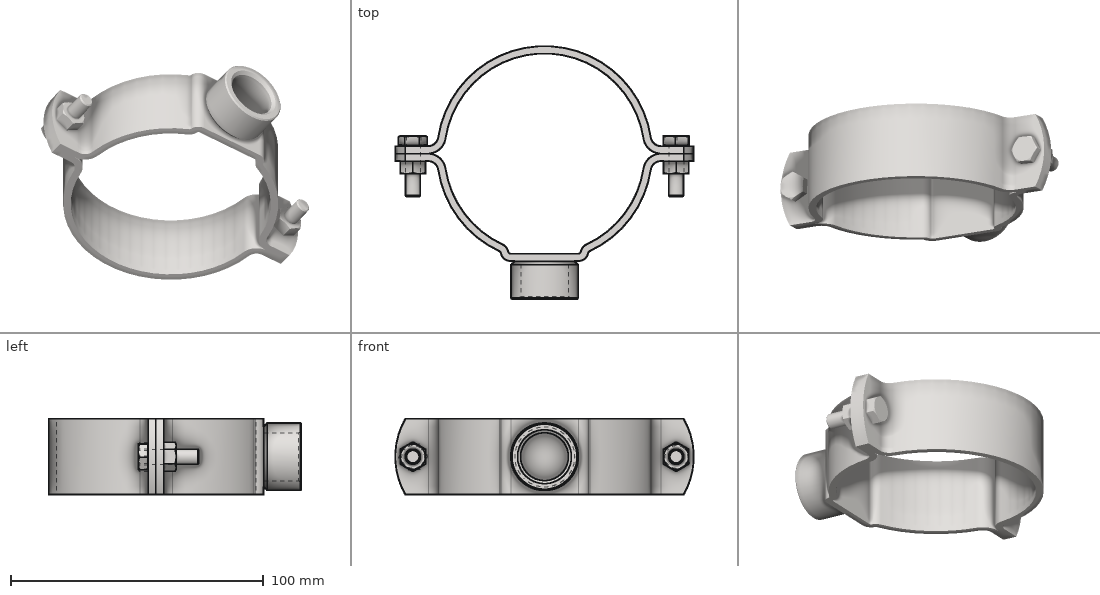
import cadquery as cq
import math


strap_thickness = 3.0
strap_width = 30.0
ring_outer_radius = 42.5
ring_inner_radius = ring_outer_radius - strap_thickness
overall_length = 118.0
ear_end_radius = 30.0

ear_bend_tight = 4.0
ear_bend_wide = ear_bend_tight + strap_thickness
seat_bend_tight = 1.0
seat_bend_wide = seat_bend_tight + strap_thickness

socket_diameter = 26.7
socket_length = 15.0
socket_bore = 18.9
socket_mouth_chamfer = 1.2
socket_base_chamfer = 1.5
socket_rim_chamfer = 0.5

screw_spacing = 104.0
screw_diameter = 6.0
screw_length = 20.0
screw_tip_chamfer = 0.5
head_height = 4.0
washer_face_height = 0.3
washer_face_diameter = 9.0
nut_height = 5.0
hex_across_flats = 10.0
hex_across_corners = hex_across_flats / math.cos(math.radians(30))
hex_chamfer_angle = 30.0
nut_turn = 30.0
left_screw_turn = 3.0
right_screw_turn = 33.0

left_x = -screw_spacing / 2
right_x = screw_spacing / 2


def polar(center, radius, angle):
    """Point at a radius and an angle in degrees around a center."""
    return (
        center[0] + radius * math.cos(math.radians(angle)),
        center[1] + radius * math.sin(math.radians(angle)),
    )


def mirrored(point):
    return (-point[0], point[1])


def direction(start, end):
    """Angle in degrees of the line from start to end."""
    return math.degrees(math.atan2(end[1] - start[1], end[0] - start[0]))


ear_center_y = strap_thickness + ear_bend_tight
ear_center_x = math.sqrt((ring_outer_radius + ear_bend_tight) ** 2 - ear_center_y**2)
ear_center = (ear_center_x, ear_center_y)
ear_ring_angle = direction((0, 0), ear_center)
ear_arc_start = 180 + ear_ring_angle
ear_arc_middle = (ear_arc_start + 270) / 2

seat_half_width = socket_diameter / 2
seat_center = (seat_half_width, seat_bend_wide - ring_outer_radius)
shoulder_distance = ring_outer_radius + seat_bend_tight
seat_distance = math.hypot(*seat_center)
bend_spacing = seat_bend_wide + seat_bend_tight
shoulder_swing = math.degrees(
    math.acos(
        (shoulder_distance**2 + seat_distance**2 - bend_spacing**2)
        / (2 * shoulder_distance * seat_distance)
    )
)
shoulder_angle = direction((0, 0), seat_center) + shoulder_swing
shoulder_center = polar((0, 0), shoulder_distance, shoulder_angle)
seat_joint_angle = direction(seat_center, shoulder_center)
seat_arc_middle = (seat_joint_angle - 90) / 2
shoulder_arc_middle = (shoulder_angle + seat_joint_angle) / 2 + 180


def finish_strap(profile):
    """Extrude a strap profile, round the ear ends and drill the screw holes."""
    strap = profile.extrude(strap_width / 2, both=True)
    end_x = overall_length / 2
    corner_x = end_x - ear_end_radius + math.sqrt(ear_end_radius**2 - (strap_width / 2) ** 2)
    half_width = strap_width / 2
    envelope = (
        cq.Workplane("XZ")
        .moveTo(-corner_x, -half_width)
        .lineTo(corner_x, -half_width)
        .threePointArc((end_x, 0), (corner_x, half_width))
        .lineTo(-corner_x, half_width)
        .threePointArc((-end_x, 0), (-corner_x, -half_width))
        .close()
        .extrude(ring_outer_radius, both=True)
    )
    holes = (
        cq.Workplane("XZ")
        .pushPoints([(left_x, 0), (right_x, 0)])
        .circle(screw_diameter / 2)
        .extrude(strap_thickness, both=True)
    )
    return strap.intersect(envelope).cut(holes)


def make_plain_strap():
    """Half strap on the +Y side."""
    end_x = overall_length / 2
    ring_outer_end = polar((0, 0), ring_outer_radius, ear_ring_angle)
    ring_inner_end = polar((0, 0), ring_inner_radius, ear_ring_angle)
    tight_middle = polar(ear_center, ear_bend_tight, ear_arc_middle)
    wide_middle = polar(ear_center, ear_bend_wide, ear_arc_middle)
    profile = (
        cq.Workplane("XY")
        .moveTo(end_x, 0)
        .lineTo(end_x, strap_thickness)
        .lineTo(ear_center_x, strap_thickness)
        .threePointArc(tight_middle, ring_outer_end)
        .threePointArc((0, ring_outer_radius), mirrored(ring_outer_end))
        .threePointArc(mirrored(tight_middle), (-ear_center_x, strap_thickness))
        .lineTo(-end_x, strap_thickness)
        .lineTo(-end_x, 0)
        .lineTo(-ear_center_x, 0)
        .threePointArc(mirrored(wide_middle), mirrored(ring_inner_end))
        .threePointArc((0, ring_inner_radius), ring_inner_end)
        .threePointArc(wide_middle, (ear_center_x, 0))
        .close()
    )
    return finish_strap(profile)


def make_seat_strap():
    """Half strap on the -Y side with the flat seat for the socket."""
    end_x = overall_length / 2
    below_center = (ear_center_x, -ear_center_y)
    ring_middle_angle = (shoulder_angle - ear_ring_angle) / 2
    shoulder_start = shoulder_angle + 180
    shoulder_end = seat_joint_angle + 180
    half = (
        cq.Workplane("XY")
        .moveTo(0, -ring_outer_radius)
        .lineTo(seat_half_width, -ring_outer_radius)
        .threePointArc(
            polar(seat_center, seat_bend_wide, seat_arc_middle),
            polar(seat_center, seat_bend_wide, seat_joint_angle),
        )
        .threePointArc(
            polar(shoulder_center, seat_bend_tight, shoulder_arc_middle),
            polar(shoulder_center, seat_bend_tight, shoulder_start),
        )
        .threePointArc(
            polar((0, 0), ring_outer_radius, ring_middle_angle),
            polar((0, 0), ring_outer_radius, -ear_ring_angle),
        )
        .threePointArc(
            polar(below_center, ear_bend_tight, -ear_arc_middle),
            (ear_center_x, -strap_thickness),
        )
        .lineTo(end_x, -strap_thickness)
        .lineTo(end_x, 0)
        .lineTo(ear_center_x, 0)
        .threePointArc(
            polar(below_center, ear_bend_wide, -ear_arc_middle),
            polar((0, 0), ring_inner_radius, -ear_ring_angle),
        )
        .threePointArc(
            polar((0, 0), ring_inner_radius, ring_middle_angle),
            polar((0, 0), ring_inner_radius, shoulder_angle),
        )
        .threePointArc(
            polar(shoulder_center, seat_bend_wide, shoulder_arc_middle),
            polar(shoulder_center, seat_bend_wide, shoulder_end),
        )
        .threePointArc(
            polar(seat_center, seat_bend_tight, seat_arc_middle),
            (seat_half_width, -ring_inner_radius),
        )
        .lineTo(0, -ring_inner_radius)
    )
    return finish_strap(half.mirrorY())


def make_socket():
    """Socket standing on the seat, pointing to -Y, bored through."""
    seat_face = cq.Workplane("XZ", origin=(0, -ring_outer_radius, 0))
    body = seat_face.circle(socket_diameter / 2).extrude(socket_length)
    body = body.faces(">Y").chamfer(socket_base_chamfer)
    body = body.faces("<Y").chamfer(socket_rim_chamfer)
    bore = seat_face.circle(socket_bore / 2).extrude(socket_length)
    body = body.cut(bore)
    mouth_edge = cq.selectors.RadiusNthSelector(0)
    return body.faces("<Y").edges(mouth_edge).chamfer(socket_mouth_chamfer)


def make_hexagon(height, turn):
    """Hexagon standing on Z = 0 with the corners of its top end beveled."""
    flat_radius = hex_across_flats / 2
    corner_radius = hex_across_corners / 2
    bevel_height = (corner_radius - flat_radius) * math.tan(math.radians(hex_chamfer_angle))
    bevel_cone = (
        cq.Workplane("XZ")
        .lineTo(corner_radius, 0)
        .lineTo(corner_radius, height - bevel_height)
        .lineTo(flat_radius, height)
        .lineTo(0, height)
        .close()
        .revolve(360, (0, 0, 0), (0, 1, 0))
    )
    prism = cq.Workplane("XY").polygon(6, hex_across_corners).extrude(height)
    return prism.intersect(bevel_cone).rotate((0, 0, 0), (0, 0, 1), turn)


def make_screw(x, turn):
    """Hexagon head screw with a round washer face, head on the +Y strap, tip toward -Y."""
    hexagon = make_hexagon(head_height - washer_face_height, -turn)
    head = hexagon.translate((0, 0, washer_face_height))
    washer_face = cq.Workplane("XY").circle(washer_face_diameter / 2).extrude(washer_face_height)
    shank = cq.Workplane("XY").circle(screw_diameter / 2).extrude(-screw_length)
    shank = shank.faces("<Z").chamfer(screw_tip_chamfer)
    screw = head.union(washer_face).union(shank).rotate((0, 0, 0), (1, 0, 0), -90)
    return screw.translate((x, strap_thickness, 0))


def make_nut(x):
    """Hexagon nut on the screw, seated on the -Y strap."""
    nut = make_hexagon(nut_height, nut_turn)
    nut = nut.cut(cq.Workplane("XY").circle(screw_diameter / 2).extrude(nut_height))
    return nut.rotate((0, 0, 0), (1, 0, 0), 90).translate((x, -strap_thickness, 0))


plain_strap = make_plain_strap()
seat_strap = make_seat_strap()
socket = make_socket()
screw_places = [(left_x, left_screw_turn), (right_x, right_screw_turn)]
screws = [make_screw(x, turn) for x, turn in screw_places]
nuts = [make_nut(x) for x in (left_x, right_x)]

result = cq.Compound.makeCompound(
    [
        plain_strap.val(),
        seat_strap.val(),
        socket.val(),
        *[screw.val() for screw in screws],
        *[nut.val() for nut in nuts],
    ]
)